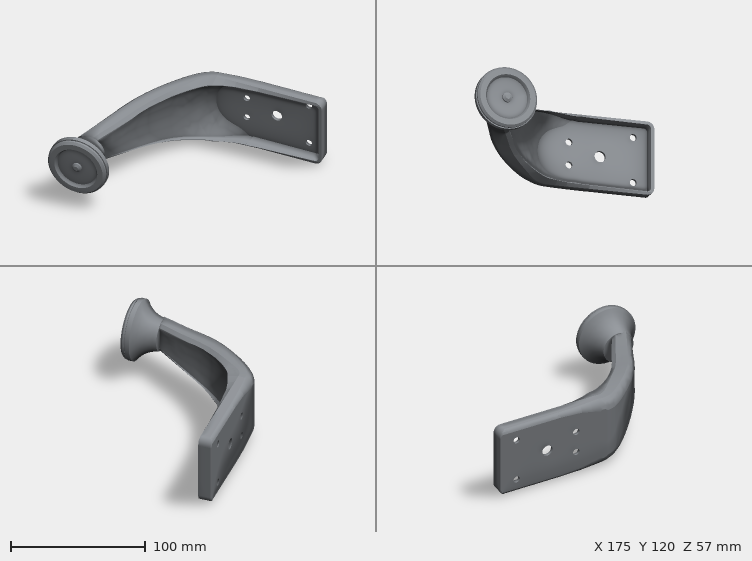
import cadquery as cq
import math

PLATE_BACK = 120.0
PLATE_END = 151.2
PLATE_FRONT = 109.7
PLATE_FLOOR = 117.6
HALF_WIDTH = 28.5
CORNER_RADIUS = 5.8
BACK_ROUND = 2.8
END_CHAMFER = 0.7
RIM_WIDTH = 2.1
POCKET_OVERLAP = 1.8
POCKET_DRAFT = 4.0

FOOT_RADIUS = 23.8
FOOT_HEIGHT = 24.8
NECK_RADIUS = 12.6
TREAD_RADIUS = 21.7
SHOULDER_HEIGHT = 7.4
FLARE_MIDDLE = (16.3, 14.9)
TREAD_HEIGHT = 1.8
GROOVE_LOW, GROOVE_HIGH, GROOVE_DEPTH = 3.2, 3.8, 0.5
RECESS_RADIUS, RECESS_FLOOR_RADIUS, RECESS_DEPTH = 17.3, 15.8, 2.6
PIN_RADIUS, PIN_TIP_RADIUS, PIN_CHAMFER = 3.7, 1.8, 1.4

CENTRE_HOLE = (111.5, 8.5)
SMALL_HOLE_DIAMETER = 5.2
SMALL_HOLES = [(87.2, 9.0), (137.4, 17.5)]

ARM_STATIONS = [
    ((-11.4, 23.8), (5.0, 23.8), 0.83, 0.7, 11.9),
    ((-4.4, 39.0), (12.6, 37.3), 0.82, 4.2, 14.0),
    ((2.8, 54.2), (20.0, 50.8), 0.81, 7.9, 16.3),
    ((16.6, 79.1), (34.3, 74.9), 0.80, 13.0, 21.0),
    ((35.9, 102.4), (47.6, 89.5), 0.76, 17.8, 24.7),
    ((52.5, 117.0), (57.8, 97.3), 0.60, 19.2, 27.0),
    ((66.2, PLATE_BACK), (66.2, 101.2), 0.55, 20.6, HALF_WIDTH),
]


def plate_station(x, rim_y, back_half=HALF_WIDTH - BACK_ROUND):
    bevel_start = (PLATE_BACK - PLATE_FRONT) / (PLATE_BACK - rim_y)
    return (x, PLATE_BACK), (x, rim_y), bevel_start, back_half, HALF_WIDTH


PLATE_STATIONS = [
    ARM_STATIONS[-1],
    plate_station(73.5, 104.0, 22.4),
    plate_station(82.2, 106.0, 24.5),
    plate_station(100.3, 107.6),
    plate_station(PLATE_END, 109.5),
]
SIDE_START = 0.28
ROUND_BULGE = 0.15

TROUGH_STATIONS = [
    ((4.9, 22.8), 180, 8.0, 0.4, 1.0),
    ((12.6, 37.3), 172, 11.0, 0.9, 2.3),
    ((20.0, 50.8), 165, 14.0, 1.4, 3.5),
    ((34.3, 74.9), 155, 18.9, 2.6, 6.1),
    ((50.0, 91.5), 130, 22.5, 3.5, 8.8),
    ((67.4, 101.7), 100, 25.9, 5.2, 17.3),
    ((78.8, 105.7), 94, 26.2, 7.9, 16.1),
    ((92.2, 106.8), 90, 25.9, 10.8, 15.8),
]
TROUGH_RISE = 7.0


def lerp(a, b, share):
    return tuple(p + (q - p) * share for p, q in zip(a, b))


def body_section(back, inner, bevel_start, back_half, half):
    """Closed section: back flat, rounded back corners, sides and bevelled rims."""
    edge = lerp(back, inner, bevel_start)
    side = lerp(back, inner, SIDE_START)
    middle_xy = lerp(back, side, 0.5 - ROUND_BULGE)
    middle_half = back_half + (half - back_half) * (0.5 + ROUND_BULGE)

    def at(point, z):
        return cq.Vector(point[0], point[1], z)

    rim_half = half - RIM_WIDTH
    return cq.Wire.assembleEdges([
        cq.Edge.makeLine(at(back, -back_half), at(back, back_half)),
        cq.Edge.makeThreePointArc(at(back, back_half), at(middle_xy, middle_half), at(side, half)),
        cq.Edge.makeLine(at(side, half), at(edge, half)),
        cq.Edge.makeLine(at(edge, half), at(inner, rim_half)),
        cq.Edge.makeLine(at(inner, rim_half), at(inner, -rim_half)),
        cq.Edge.makeLine(at(inner, -rim_half), at(edge, -half)),
        cq.Edge.makeLine(at(edge, -half), at(side, -half)),
        cq.Edge.makeThreePointArc(at(side, -half), at(middle_xy, -middle_half), at(back, -back_half)),
    ])


def trough_section(inner, direction, half, wall_depth, middle_depth):
    """Section of the trough cutter: straight walls and a dished floor."""
    dx = math.cos(math.radians(direction))
    dy = math.sin(math.radians(direction))

    def at(depth, z):
        return cq.Vector(inner[0] + dx * depth, inner[1] + dy * depth, z)

    return cq.Wire.assembleEdges([
        cq.Edge.makeLine(at(-TROUGH_RISE, -half), at(-TROUGH_RISE, half)),
        cq.Edge.makeLine(at(-TROUGH_RISE, half), at(wall_depth, half)),
        cq.Edge.makeThreePointArc(at(wall_depth, half), at(middle_depth, 0), at(wall_depth, -half)),
        cq.Edge.makeLine(at(wall_depth, -half), at(-TROUGH_RISE, -half)),
    ])


def loft(wires, ruled):
    return cq.Workplane(cq.Solid.makeLoft(wires, ruled))


def block(x_min, x_max, y_min, y_max, half):
    return cq.Workplane().box(
        x_max - x_min, y_max - y_min, 2 * half, centered=False
    ).translate((x_min, y_min, -half))


def make_bracket():
    arm = loft([body_section(*s) for s in ARM_STATIONS], False)
    plate = loft([body_section(*s) for s in PLATE_STATIONS], True)
    envelope = (
        block(-FOOT_RADIUS, PLATE_END, 0, PLATE_BACK, HALF_WIDTH)
        .edges("|Y and >X").fillet(CORNER_RADIUS)
        .faces(">Y").edges(">X").chamfer(END_CHAMFER)
    )
    return arm.union(plate).intersect(envelope)


def make_hollow():
    """Plate pocket joined to the arm trough, both ending at the plate floor."""
    trough = loft([trough_section(*s) for s in TROUGH_STATIONS], False)
    below_floor = block(-FOOT_RADIUS, PLATE_END, 0, PLATE_FLOOR, HALF_WIDTH)
    pocket_start = TROUGH_STATIONS[-1][0][0] - POCKET_OVERLAP
    pocket_end = PLATE_END - RIM_WIDTH
    pocket = (
        cq.Workplane("XZ", origin=((pocket_start + pocket_end) / 2, PLATE_FRONT - TROUGH_RISE, 0))
        .sketch()
        .rect(pocket_end - pocket_start, 2 * (HALF_WIDTH - RIM_WIDTH))
        .vertices(">X").fillet(CORNER_RADIUS - RIM_WIDTH)
        .finalize()
        .extrude(-(PLATE_FLOOR - PLATE_FRONT + TROUGH_RISE), taper=POCKET_DRAFT)
    )
    return trough.intersect(below_floor).union(pocket)


def make_hole(x, z, diameter):
    return (
        cq.Workplane("XZ", origin=(x, PLATE_BACK, z))
        .circle(diameter / 2).extrude(PLATE_BACK - PLATE_FRONT)
    )


def make_foot():
    """Turned foot with a flared neck, tread groove, bottom recess and pin."""
    groove_radius = FOOT_RADIUS - GROOVE_DEPTH
    return (
        cq.Workplane("XY")
        .moveTo(0, 0)
        .lineTo(PIN_TIP_RADIUS, 0)
        .lineTo(PIN_RADIUS, PIN_CHAMFER)
        .lineTo(PIN_RADIUS, RECESS_DEPTH)
        .lineTo(RECESS_FLOOR_RADIUS, RECESS_DEPTH)
        .lineTo(RECESS_RADIUS, 0)
        .lineTo(TREAD_RADIUS, 0)
        .lineTo(groove_radius, TREAD_HEIGHT)
        .lineTo(groove_radius, GROOVE_LOW)
        .lineTo(groove_radius - GROOVE_DEPTH, GROOVE_LOW)
        .lineTo(groove_radius - GROOVE_DEPTH, GROOVE_HIGH)
        .lineTo(FOOT_RADIUS, GROOVE_HIGH)
        .lineTo(FOOT_RADIUS, SHOULDER_HEIGHT)
        .threePointArc(FLARE_MIDDLE, (NECK_RADIUS, FOOT_HEIGHT))
        .lineTo(0, FOOT_HEIGHT)
        .close()
        .revolve(360, (0, 0, 0), (0, 1, 0))
    )


result = make_bracket().cut(make_hollow()).union(make_foot())
result = result.cut(make_hole(CENTRE_HOLE[0], 0, CENTRE_HOLE[1]))
for hole_x, hole_z in SMALL_HOLES:
    for side in (-1, 1):
        result = result.cut(make_hole(hole_x, side * hole_z, SMALL_HOLE_DIAMETER))